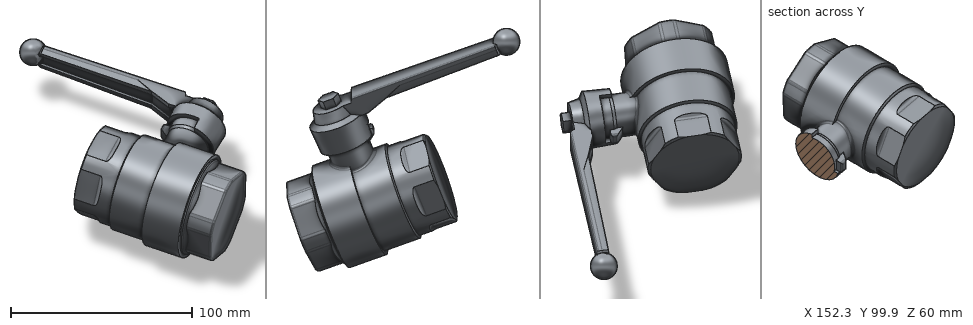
import cadquery as cq
import math


body_end = 41.1
end_radius = 26.2
flat_distance = 24.5
middle_radius = 27.7
collar_radius = 30.0
shoulder_x = -19.3
shoulder_length = 0.8
collar_start = 2.0
collar_end = 23.7
lip_end = 25.5
lip_round = 0.8
hex_start = 27.4
end_chamfer_length = 0.8
end_chamfer_depth = 1.4
end_round = 1.0

flat_count = 6
flat_step = 360 / flat_count
left_flat_end = -29.0
flat_runout = 2.6
right_hex_turn = -2.5
hex_corner_round = 4.5

stem_radius = 12.0
stem_head_radius = 12.8
stem_shoulder_y = 38.4
stem_head_y = 40.2
stem_root_round = 1.5

cap_bottom_y = 38.7
cap_rim_y = 53.7
cap_cone_y = 56.0
cap_top_y = 62.3
cap_bottom_radius = 15.4
cap_rim_radius = 16.0
cap_cone_radius = 12.3
cap_top_radius = 10.8
window_top_y = 45.5
window_reach = 3.7
nut_top_y = 67.1
nut_sides = 6
nut_corner_diameter = 11.9

lug_half_width = 3.7
lug_outer_x = -16.6
lug_inner_x = -10.7
lug_top_y = 42.5
lug_slope_y = 39.0
lug_bottom_y = 34.4
lug_round = 1.2

ball_radius = 7.5
ball_x = -103.7
ball_y = 62.4
lever_top_y = 64.9
lever_end_y = 58.8
lever_bend_x = -30.5
lever_bend_y = 57.9
lever_root_x = -18.3
lever_root_y = 53.3
lever_step_x = -13.1
lever_step_length = 1.5
lever_start_x = -100.8
lever_end_half_width = 6.4
lever_root_half_width = 8.5
parting_y = 62.3
parting_end_x = -40.5
side_draft = 4.0
recess_depth = 1.5
recess_margin_end = 2.5
recess_margin_root = 3.7
recess_root_x = -17.0
lever_top_round = 0.6


def revolve_about_x(points):
    """Turn a closed (x, radius) outline about the flow axis."""
    return cq.Workplane("XY").polyline(points).close().revolve(360, (0, 0, 0), (1, 0, 0))


def revolve_about_y(points):
    """Turn a closed (radius, y) outline about the stem axis."""
    return cq.Workplane("XY").polyline(points).close().revolve(360, (0, 0, 0), (0, 1, 0))


def make_turned_body():
    outline = [
        (-body_end, 0),
        (-body_end, end_radius - end_chamfer_depth),
        (-body_end + end_chamfer_length, end_radius),
        (shoulder_x, end_radius),
        (shoulder_x + shoulder_length, middle_radius),
        (collar_start, middle_radius),
        (collar_start, collar_radius),
        (collar_end, collar_radius),
        (collar_end, middle_radius),
        (lip_end - lip_round, middle_radius),
        (lip_end, middle_radius - lip_round),
        (hex_start, flat_distance),
        (hex_start, 0),
    ]
    return revolve_about_x(outline)


def cut_left_flats(body):
    runout_x = left_flat_end + flat_runout
    cutter = (
        cq.Workplane("XZ")
        .moveTo(-body_end, flat_distance)
        .lineTo(left_flat_end, flat_distance)
        .tangentArcPoint((runout_x, end_radius), relative=False)
        .lineTo(runout_x, collar_radius)
        .lineTo(-body_end, collar_radius)
        .close()
        .extrude(end_radius, both=True)
    )
    for index in range(flat_count):
        body = body.cut(cutter.rotate((0, 0, 0), (1, 0, 0), index * flat_step))
    return body


def make_right_hexagon():
    length = body_end - collar_end
    across_corners = 2 * flat_distance / math.cos(math.radians(flat_step / 2))
    stock = cq.Workplane("YZ", origin=(collar_end, 0, 0)).circle(end_radius).extrude(length)
    hexagon = cq.Workplane("YZ", origin=(collar_end, 0, 0)).polygon(flat_count, across_corners)
    corner_to_top = 90 + right_hex_turn
    hexagon = hexagon.extrude(length).rotate((0, 0, 0), (1, 0, 0), corner_to_top)
    end = stock.intersect(hexagon).edges("|X").fillet(hex_corner_round)
    return end.faces(">X").edges().fillet(end_round)


def make_stem():
    outline = [
        (0, 0),
        (stem_radius, 0),
        (stem_radius, stem_shoulder_y),
        (stem_head_radius, stem_head_y),
        (stem_head_radius, cap_rim_y),
        (0, cap_rim_y),
    ]
    return revolve_about_y(outline)


def make_cap():
    outline = [
        (0, cap_bottom_y),
        (cap_bottom_radius, cap_bottom_y),
        (cap_rim_radius, cap_rim_y),
        (cap_cone_radius, cap_cone_y),
        (cap_top_radius, cap_top_y),
        (0, cap_top_y),
    ]
    window_size = 2 * cap_rim_radius
    window = cq.Workplane("XY").box(
        window_size, window_top_y - cap_bottom_y, window_size, centered=False
    ).translate((window_reach - window_size, cap_bottom_y, -window_reach))
    return revolve_about_y(outline).cut(window)


def make_nut():
    top = cq.Workplane("XZ", origin=(0, nut_top_y, 0))
    return top.polygon(nut_sides, nut_corner_diameter).extrude(nut_top_y - cap_cone_y)


def make_stop_lug():
    outline = [
        (lug_inner_x, lug_top_y),
        (lug_outer_x, lug_top_y),
        (lug_outer_x, lug_slope_y),
        (lug_inner_x, lug_bottom_y),
    ]
    lug = cq.Workplane("XY").polyline(outline).close().extrude(lug_half_width, both=True)
    return lug.faces("<X").edges().fillet(lug_round)


def round_stem_root(body):
    """Fillet the curves where the stem meets the middle part and the collar."""
    reach = stem_radius + stem_root_round
    stem_root = cq.selectors.BoxSelector(
        (-reach, end_radius / 2, -reach),
        (reach, stem_shoulder_y - stem_root_round, reach),
        boundingbox=True,
    )
    return body.edges(stem_root).edges("not %LINE").fillet(stem_root_round)


def lever_plan(y, start_x, start_half_width, root_x, root_half_width):
    """Tapered plan outline of the lever at height y, with a rounded end at the ball."""
    shoulder = start_x + start_half_width / 2
    return (
        cq.Workplane("XZ", origin=(0, y, 0))
        .moveTo(root_x, root_half_width)
        .lineTo(shoulder, start_half_width)
        .threePointArc((start_x, 0), (shoulder, -start_half_width))
        .lineTo(root_x, -root_half_width)
        .close()
    )


def underside(offset):
    """Points along the lever underside from ball to cap, raised by offset."""
    return [
        (lever_start_x, lever_end_y + offset),
        (lever_bend_x, lever_bend_y + offset),
        (lever_root_x, lever_root_y + offset),
    ]


def make_lever():
    side_outline = underside(0) + [
        (0, lever_root_y),
        (0, cap_top_y),
        (lever_step_x + lever_step_length, cap_top_y),
        (lever_step_x, lever_top_y),
        (lever_start_x, lever_top_y),
    ]
    side = cq.Workplane("XY").polyline(side_outline).close().extrude(cap_rim_radius, both=True)
    plan_size = (lever_start_x, lever_end_half_width, 0, lever_root_half_width)
    blank = lever_plan(lever_root_y, *plan_size).extrude(lever_root_y - lever_top_y)
    lever = side.intersect(blank)
    lever = lever.faces(">Y").edges("not |Z").fillet(lever_top_round)

    band_outline = [
        (lever_start_x, parting_y),
        (parting_end_x, parting_y),
        (lever_bend_x, lever_bend_y),
        (lever_bend_x, lever_root_y),
        (lever_start_x, lever_root_y),
    ]
    band = cq.Workplane("XY").polyline(band_outline).close().extrude(cap_rim_radius, both=True)
    drafted = lever_plan(parting_y, *plan_size).extrude(parting_y - lever_root_y, taper=side_draft)
    lever = lever.cut(band.cut(drafted))

    floor_outline = underside(recess_depth) + [(0, lever_root_y + recess_depth), (0, 0), (lever_start_x, 0)]
    floor = cq.Workplane("XY").polyline(floor_outline).close().extrude(cap_rim_radius, both=True)
    recess = lever_plan(
        0,
        lever_start_x + recess_margin_end / 2,
        lever_end_half_width - recess_margin_end,
        recess_root_x,
        lever_root_half_width - recess_margin_root,
    ).extrude(-lever_top_y)
    return lever.cut(floor.intersect(recess))


def make_ball():
    return cq.Workplane("XY").sphere(ball_radius).translate((ball_x, ball_y, 0))


body = cut_left_flats(make_turned_body())
body = body.union(make_right_hexagon()).union(make_stem())
body = round_stem_root(body)
result = (
    body.union(make_stop_lug())
    .union(make_cap())
    .union(make_nut())
    .union(make_lever())
    .union(make_ball())
)